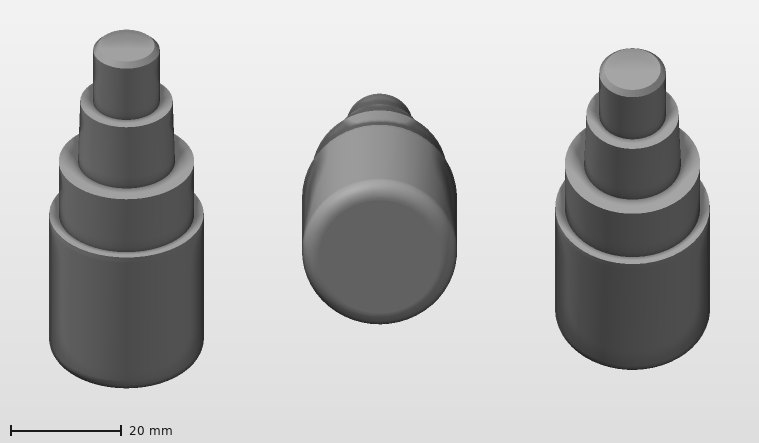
import cadquery as cq

TOTAL_HEIGHT = 66.75

BARREL_DIAMETER = 28.0
BARREL_TOP = 30.0
FOOT_RADIUS = 3.0
RIM_HEIGHT = 1.0
RIM_INSET = 0.055

COLLAR_DIAMETER = 24.4
COLLAR_TOP = 41.5
TAPER_BASE_DIAMETER = 17.5
TAPER_TOP_DIAMETER = 16.7
TAPER_TOP = 54.6
PIN_DIAMETER = 12.0
PIN_CHAMFER = 0.95


def cylinder(diameter, bottom, top):
    """Upright cylinder on the Z axis between two heights."""
    return cq.Workplane("XY").workplane(offset=bottom).circle(diameter / 2).extrude(top - bottom)


def frustum(bottom_diameter, top_diameter, bottom, top):
    """Upright cone frustum on the Z axis between two heights."""
    return (
        cq.Workplane("XY")
        .workplane(offset=bottom)
        .circle(bottom_diameter / 2)
        .workplane(offset=top - bottom)
        .circle(top_diameter / 2)
        .loft()
    )


def make_barrel():
    """Cylinder with a rounded lower edge, narrowing slightly along its top rim."""
    rim_bottom = BARREL_TOP - RIM_HEIGHT
    rim_top_diameter = BARREL_DIAMETER - 2 * RIM_INSET
    rim = frustum(BARREL_DIAMETER, rim_top_diameter, rim_bottom, BARREL_TOP)
    body = cylinder(BARREL_DIAMETER, 0, rim_bottom).faces("<Z").edges().fillet(FOOT_RADIUS)
    return body.union(rim)


def make_plunger():
    """Collar, tapered shoulder and chamfered pin, stacked on the Z axis."""
    collar = cylinder(COLLAR_DIAMETER, BARREL_TOP, COLLAR_TOP)
    shoulder = frustum(TAPER_BASE_DIAMETER, TAPER_TOP_DIAMETER, COLLAR_TOP, TAPER_TOP)
    pin = cylinder(PIN_DIAMETER, TAPER_TOP, TOTAL_HEIGHT).faces(">Z").edges().chamfer(PIN_CHAMFER)
    return collar.union(shoulder).union(pin)


barrel = make_barrel()
plunger = make_plunger()
result = cq.Compound.makeCompound([barrel.solids().val(), plunger.solids().val()])